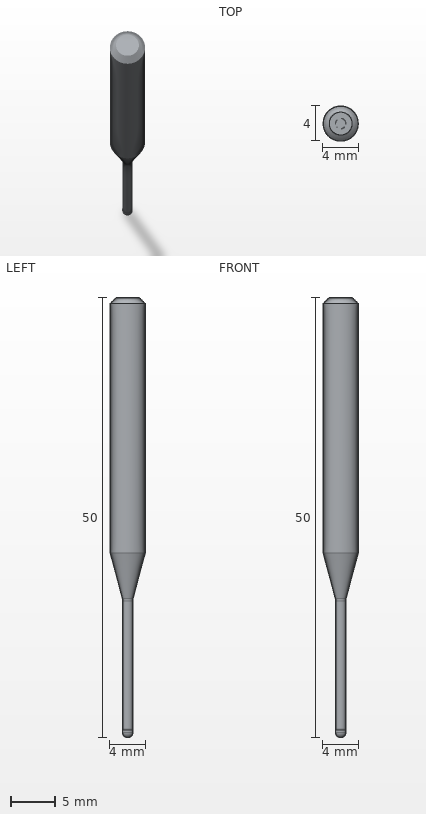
import cadquery as cq
import math

total_length = 50.0
shank_radius = 2.0
shank_bottom_z = 21.0
end_chamfer = 0.7

ball_radius = 0.6
head_length = 0.85

neck_radius = 0.575
head_taper_length = 0.15
neck_bottom_z = head_length + head_taper_length

cone_angle = math.radians(15.0)
blend_radius = 1.2
blend_top_radius = neck_radius + blend_radius * (1 - math.cos(cone_angle))
blend_mid_radius = neck_radius + blend_radius * (1 - math.cos(cone_angle / 2))
cone_length = (shank_radius - blend_top_radius) / math.tan(cone_angle)
cone_bottom_z = shank_bottom_z - cone_length
neck_top_z = cone_bottom_z - blend_radius * math.sin(cone_angle)
blend_mid_z = neck_top_z + blend_radius * math.sin(cone_angle / 2)


def revolve_about_z(half_profile):
    """Turn a closed (radius, Z) profile into a solid of revolution about Z."""
    return half_profile.revolve(360, (0, 0, 0), (0, 1, 0))


def make_shank():
    """Chamfered shank, cone, blend arc, neck and the taper that meets the head."""
    profile = (
        cq.Workplane("XZ")
        .moveTo(0, head_length)
        .lineTo(ball_radius, head_length)
        .lineTo(neck_radius, neck_bottom_z)
        .lineTo(neck_radius, neck_top_z)
        .threePointArc((blend_mid_radius, blend_mid_z), (blend_top_radius, cone_bottom_z))
        .lineTo(shank_radius, shank_bottom_z)
        .lineTo(shank_radius, total_length - end_chamfer)
        .lineTo(shank_radius - end_chamfer, total_length)
        .lineTo(0, total_length)
        .close()
    )
    return revolve_about_z(profile)


def make_cutting_head():
    """Ball nose with a short cylinder up to the flat face on the shank."""
    arc_mid = ball_radius * math.sin(math.radians(45))
    profile = (
        cq.Workplane("XZ")
        .moveTo(0, 0)
        .threePointArc((arc_mid, ball_radius - arc_mid), (ball_radius, ball_radius))
        .lineTo(ball_radius, head_length)
        .lineTo(0, head_length)
        .close()
    )
    return revolve_about_z(profile)


shank = make_shank()
cutting_head = make_cutting_head()

result = cq.Compound.makeCompound([shank.val(), cutting_head.val()])